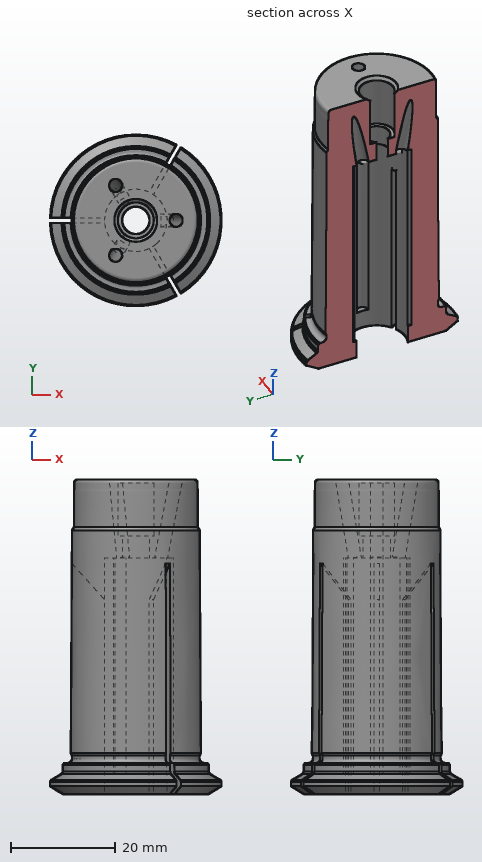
import cadquery as cq
import math

height = 60.5
flange_radius = 33.0 / 2
collar_radius = 14.05
body_lower_radius = 12.5
body_upper_radius = 12.3
neck_radius = 12.3
head_radius = 23.85 / 2
head_band_radius = 23.8 / 2
top_rounding = 0.8
collar_top = 6.05
root_fillet = 0.85
bottom_face_radius = 13.9

bore_radius = 12.0 / 2
bore_top = 45.4
through_diameter = 5.2
screw_diameter = 6.9
screw_mouth_diameter = 8.2
screw_depth = 10.9

repeat_count = 3
repeat_angle = 360 / repeat_count
coolant_diameter = 2.5
coolant_entry_radius = 7.75
coolant_exit_radius = 4.85
coolant_overrun = 1.2
flute_bottom = 3.95

slot_width = 0.95
slot_top = 44.35
slot_inner_radius = 4.85
slot_outer_radius = flange_radius + 0.6
slot_roof_end = 37.4


def rotated_copies(feature):
    """Return the feature repeated evenly about the Z axis."""
    copies = cq.Workplane("XY")
    for index in range(repeat_count):
        copies = copies.add(feature.rotate((0, 0, 0), (0, 0, 1), index * repeat_angle))
    return copies.combine()


def round_midpoint(center_r, center_z, radius, angle):
    """Return the (radius, z) point of a rounding at the given angle in degrees."""
    direction = math.radians(angle)
    return (center_r + radius * math.cos(direction), center_z + radius * math.sin(direction))


def outer_body():
    """Revolve the outside profile, drawn in (radius, z) from bottom to top."""
    root_center_r = neck_radius + root_fillet
    root_center_z = collar_top + root_fillet
    top_center_z = height - top_rounding
    top_center_r = head_band_radius - top_rounding
    profile = (
        cq.Workplane("XZ")
        .moveTo(0, 0)
        .lineTo(bottom_face_radius, 0)
        .lineTo(flange_radius, 1.6)
        .lineTo(flange_radius, 2.4)
        .lineTo(flange_radius - 0.25, 2.8)
        .lineTo(collar_radius + 0.25, 3.95)
        .lineTo(collar_radius, 4.35)
        .lineTo(collar_radius, collar_top - 0.35)
        .lineTo(collar_radius - 0.3, collar_top)
        .lineTo(root_center_r, collar_top)
        .threePointArc(
            round_midpoint(root_center_r, root_center_z, root_fillet, 225),
            (neck_radius, root_center_z),
        )
        .lineTo(neck_radius, 7.45)
        .lineTo(body_lower_radius, 8.0)
        .lineTo(body_upper_radius, 50.7)
        .lineTo(head_radius, 51.3)
        .lineTo(head_radius, 58.1)
        .lineTo(head_band_radius, 58.6)
        .lineTo(head_band_radius, top_center_z)
        .threePointArc(
            round_midpoint(top_center_r, top_center_z, top_rounding, 45),
            (top_center_r, height),
        )
        .lineTo(0, height)
        .close()
    )
    return profile.revolve(360, (0, 0, 0), (0, 1, 0))


def axial_bores():
    """Clamping bore from below, through hole, and chamfered screw hole from above."""
    bore = cq.Workplane("XY").circle(bore_radius).extrude(bore_top)
    through = cq.Workplane("XY").circle(through_diameter / 2).extrude(height)
    screw_hole = cq.Workplane("XY", origin=(0, 0, height)).circle(screw_diameter / 2).extrude(-screw_depth)
    chamfer_depth = (screw_mouth_diameter - screw_diameter) / 2
    mouth = cq.Workplane("XY").add(
        cq.Solid.makeCone(
            screw_diameter / 2,
            screw_mouth_diameter / 2,
            chamfer_depth,
            pnt=cq.Vector(0, 0, height - chamfer_depth),
        )
    )
    return bore.union(through).union(screw_hole).union(mouth)


def coolant_channel():
    """One inclined hole from the top face, with its vertical flute in the bore wall."""
    entry = cq.Vector(coolant_entry_radius, 0, height)
    exit_point = cq.Vector(coolant_exit_radius, 0, bore_top)
    path = exit_point - entry
    overrun = path.normalized() * -coolant_overrun
    hole = cq.Solid.makeCylinder(coolant_diameter / 2, path.Length + coolant_overrun, entry + overrun, path)
    flute = (
        cq.Workplane("XY", origin=(bore_radius, 0, flute_bottom))
        .circle(coolant_diameter / 2)
        .extrude(bore_top - flute_bottom)
    )
    return flute.union(cq.Workplane("XY").add(hole))


def radial_slot():
    """One slot through the -X wall into the bore, with a roof sloping down inward."""
    roof_slope = (slot_top - slot_roof_end) / (body_upper_radius - bore_radius)
    roof_inner = slot_roof_end - roof_slope * (bore_radius - slot_inner_radius)
    side = [
        (-slot_outer_radius, 0),
        (-slot_inner_radius, 0),
        (-slot_inner_radius, roof_inner),
        (-body_upper_radius, slot_top),
        (-slot_outer_radius, slot_top),
    ]
    return cq.Workplane("XZ").polyline(side).close().extrude(slot_width / 2, both=True)


result = (
    outer_body()
    .cut(axial_bores())
    .cut(rotated_copies(coolant_channel()))
    .cut(rotated_copies(radial_slot()))
)